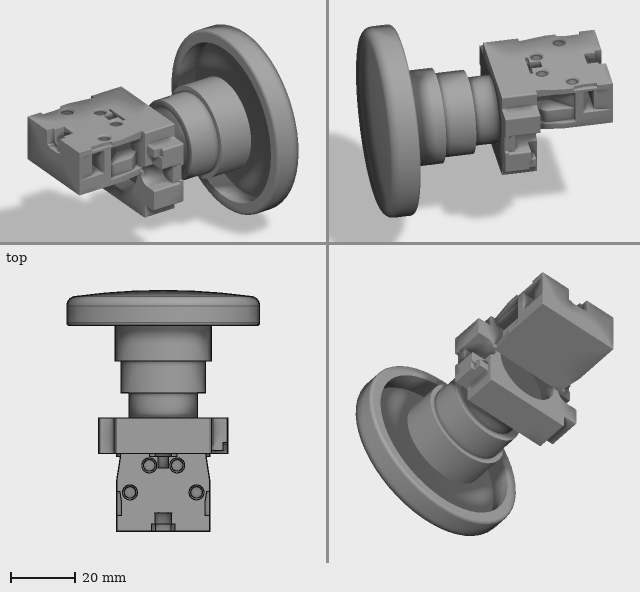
import cadquery as cq
import math


crown_y = 75.0
head_rim_y = 64.05
collar_end_y = 53.0
sleeve_end_y = 43.1
mount_back_y = 35.3
mount_front_y = 24.2
stem_end_y = 30.0

head_radius = 30.0
shoulder_y = 70.2
dome_edge_radius = 27.3
dome_edge_y = 73.1
rim_rounding = 1.0
dish_radius = 26.0
dish_edge_y = 70.65
dish_centre_y = 72.4

collar_radius = 15.0
sleeve_radius = 13.2
stem_radius = 10.7
bore_clearance = 0.2

mount_half = 15.0
lug_half_width = 20.1
lug_half_height = 10.3
edge_rounding = 0.495
slot_half_height = 3.3
slot_centre_x = 16.05
slot_floor_y = 32.1
waist_half_width = 18.9
back_lip_y = 34.1
back_lip_half_gap = 2.85
lug_step_y = 27.15
lug_notch_y = 27.7
lug_bar_y = 25.2
lug_bar_z = 7.5
lug_bar_half_width = 18.6

contact_half_width = 14.5
contact_height = 15.0
neck_half_width = 13.2
taper_start_y = 16.05
foot_thickness = 0.9
foot_height = 1.35

side_wall_half_width = 12.9
pocket_start_y = 11.85
pocket_floor_z = 1.95
pocket_top_z = 13.2
ledge_z = 6.2
wedge_top_z = 12.2
wedge_end_y = 18.75
lower_slope_y = 20.8
slope_angle = 40.0

window_floor_z = 5.0
window_front_y = 5.8
window_back_y = 9.4

rim_notch_floor_z = 13.95
rim_notch_front_y = 4.95
rim_notch_knee_y = 9.6
rim_notch_back_y = 12.4
rim_notch_half_width = 13.05
rim_notch_back_half_width = 13.5

screw_places = [(4.35, 20.55), (10.35, 12.15)]
screw_outer_radius = 2.3
screw_inner_radius = 1.8
screw_depth = 1.1

trough_radius = 2.6
trough_axis_z = 12.15
rod_radius = 1.6
rod_axis_z = 12.7
rod_slot_end_y = 19.8
mouth_depth = 2.25
mouth_half_width = 3.6
mouth_floor_z = 10.0
mouth_step_half_width = 2.5
rear_recess_half_width = 4.35
rear_recess_y = 23.25


def box(x_range, y_range, z_range):
    """Axis-aligned block between pairs of X, Y and Z limits."""
    sizes = [high - low for low, high in (x_range, y_range, z_range)]
    corner = (x_range[0], y_range[0], z_range[0])
    return cq.Workplane("XY").box(*sizes, centered=False).translate(corner)


def cylinder(radius, y_range, x=0, z=0):
    """Cylinder parallel to the Y axis."""
    start, end = y_range
    return cq.Workplane("XZ", origin=(x, start, z)).circle(radius).extrude(start - end)


def plan_prism(points, z_range):
    """Vertical prism over an outline in X and Y."""
    bottom, top = z_range
    return cq.Workplane("XY", origin=(0, 0, bottom)).polyline(points).close().extrude(top - bottom)


def both_sides(shape):
    """The shape together with its mirror image across the YZ plane."""
    return shape.union(shape.mirror("YZ"))


def shallow_arc_middle(edge_radius, edge_y, centre_y):
    """Point halfway along a shallow arc that rises from its edge to the axis, as (Y, Z)."""
    rise = centre_y - edge_y
    arc_radius = (edge_radius ** 2 + rise ** 2) / (2 * rise)
    half_angle = math.asin(edge_radius / arc_radius) / 2
    return (centre_y - arc_radius * (1 - math.cos(half_angle)), arc_radius * math.sin(half_angle))


def make_head():
    """Domed cap with a dished underside."""
    cap = (
        cq.Workplane("YZ")
        .moveTo(head_rim_y, 0)
        .lineTo(head_rim_y, head_radius)
        .lineTo(shoulder_y, head_radius)
        .tangentArcPoint((dome_edge_y, dome_edge_radius), relative=False)
        .threePointArc(shallow_arc_middle(dome_edge_radius, dome_edge_y, crown_y), (crown_y, 0))
        .close()
        .revolve(360, (0, 0), (1, 0))
    )
    cap = cap.faces("<Y").edges().fillet(rim_rounding)
    dish = (
        cq.Workplane("YZ")
        .moveTo(head_rim_y, 0)
        .lineTo(head_rim_y, dish_radius)
        .lineTo(dish_edge_y, dish_radius)
        .threePointArc(shallow_arc_middle(dish_radius, dish_edge_y, dish_centre_y), (dish_centre_y, 0))
        .close()
        .revolve(360, (0, 0), (1, 0))
    )
    return cap.cut(dish)


def make_stem():
    """Round stem in three steps, the widest under the head."""
    collar = cylinder(collar_radius, (collar_end_y, head_rim_y))
    sleeve = cylinder(sleeve_radius, (sleeve_end_y, collar_end_y))
    stem = cylinder(stem_radius, (stem_end_y, sleeve_end_y))
    return collar.union(sleeve).union(stem)


def side_slot():
    """Round-ended slot in the +X side, with the shallower gap behind it."""
    outer = (slot_centre_x, lug_half_width)
    gap = (waist_half_width, lug_half_width)
    height = (-slot_half_height, slot_half_height)
    slot = box(outer, (mount_front_y, slot_floor_y), height)
    slot = slot.union(cylinder(slot_half_height, (mount_front_y, slot_floor_y), slot_centre_x))
    return slot.union(box(gap, (slot_floor_y, back_lip_y), height))


def lug_step():
    """Cutter that shortens the upper +X lug and leaves a small bar on it."""
    sides = (mount_half, lug_half_width)
    bar_rows = (lug_bar_z, lug_half_height + edge_rounding)
    step = box(sides, (mount_front_y, lug_step_y), (0, lug_bar_z))
    step = step.union(box(sides, (mount_front_y, lug_bar_y), bar_rows))
    corner = (lug_bar_half_width, lug_half_width)
    return step.union(box(corner, (mount_front_y, lug_notch_y), bar_rows))


def make_mount():
    """Square block with side lugs, gripping the stem in a round bore."""
    depth = (mount_front_y, mount_back_y)
    body = box((-mount_half, mount_half), depth, (-mount_half, mount_half))
    lugs = box((-lug_half_width, lug_half_width), depth, (-lug_half_height, lug_half_height))
    mount = body.union(lugs).edges("|Y").fillet(edge_rounding)
    mount = mount.cut(both_sides(side_slot()))
    for lug_face_x in (-lug_half_width, lug_half_width):
        slot_edges = cq.selectors.BoxSelector(
            (lug_face_x - edge_rounding, mount_front_y, -slot_half_height - edge_rounding),
            (lug_face_x + edge_rounding, back_lip_y, slot_half_height + edge_rounding),
        )
        mount = mount.edges("|Y").edges(slot_edges).fillet(edge_rounding)
    back_gap = box(
        (waist_half_width, lug_half_width),
        (back_lip_y, mount_back_y),
        (-back_lip_half_gap, back_lip_half_gap),
    )
    mount = mount.cut(both_sides(back_gap))
    step = lug_step()
    mount = mount.cut(step).cut(step.rotate((0, 0, 0), (0, 1, 0), 180))
    return mount.cut(cylinder(stem_radius + bore_clearance, depth))


def contact_body():
    """Block that narrows toward the mounting block, with a foot along its bottom rear edge."""
    outline = [
        (-contact_half_width, 0),
        (contact_half_width, 0),
        (contact_half_width, taper_start_y),
        (neck_half_width, mount_front_y),
        (-neck_half_width, mount_front_y),
        (-contact_half_width, taper_start_y),
    ]
    foot = box(
        (-contact_half_width, contact_half_width),
        (mount_front_y - foot_thickness, mount_front_y),
        (0, foot_height),
    )
    return plan_prism(outline, (0, contact_height)).union(foot)


def side_pocket():
    """Rear pocket in the +X side: a shallow recess with two sloping walls cut deeper."""
    slope = math.tan(math.radians(slope_angle))
    wall = side_wall_half_width
    recess = box((wall, contact_half_width), (pocket_start_y, mount_front_y), (pocket_floor_z, pocket_top_z))
    upper_x = wall - (wedge_end_y - pocket_start_y) * slope
    upper = plan_prism(
        [(wall, pocket_start_y), (upper_x, wedge_end_y), (upper_x, mount_front_y), (wall, mount_front_y)],
        (ledge_z, wedge_top_z),
    )
    lower_x = wall - (mount_front_y - lower_slope_y) * slope
    lower = plan_prism(
        [(wall, lower_slope_y), (lower_x, mount_front_y), (wall, mount_front_y)],
        (pocket_floor_z, ledge_z),
    )
    return recess.union(upper).union(lower)


def window():
    """Opening right through in X, flared toward the front edge at both ends."""
    outline = [
        (-contact_half_width, 0),
        (-side_wall_half_width, window_front_y),
        (side_wall_half_width, window_front_y),
        (contact_half_width, 0),
        (contact_half_width, window_back_y),
        (-contact_half_width, window_back_y),
    ]
    return plan_prism(outline, (window_floor_z, pocket_top_z))


def rim_notch():
    """Shallow notch in the top +X edge."""
    outline = [
        (contact_half_width, rim_notch_front_y),
        (rim_notch_half_width, rim_notch_front_y),
        (rim_notch_half_width, rim_notch_knee_y),
        (rim_notch_back_half_width, rim_notch_back_y),
        (contact_half_width, rim_notch_back_y),
    ]
    return plan_prism(outline, (rim_notch_floor_z, contact_height))


def screw_recess(x, y):
    """Countersunk round recess in the top face."""
    hole = (
        cq.Workplane("XY", origin=(x, y, contact_height))
        .circle(screw_inner_radius)
        .extrude(-screw_depth)
    )
    countersink = cq.Solid.makeCone(
        screw_outer_radius,
        screw_inner_radius,
        screw_outer_radius - screw_inner_radius,
        pnt=cq.Vector(x, y, contact_height),
        dir=cq.Vector(0, 0, -1),
    )
    return hole.union(cq.Workplane(obj=countersink))


def open_trough(radius, axis_z, y_range):
    """Round-bottomed channel along Y, open to the top face."""
    return cylinder(radius, y_range, 0, axis_z).union(box((-radius, radius), y_range, (axis_z, contact_height)))


def make_contact():
    """Contact block with side pockets, a window, screw recesses and a channel for a rod."""
    contact = contact_body().cut(both_sides(side_pocket())).cut(window()).cut(both_sides(rim_notch()))
    for x, y in screw_places:
        contact = contact.cut(both_sides(screw_recess(x, y)))

    mouth = (0, mouth_depth)
    step_floor_z = trough_axis_z - trough_radius
    contact = contact.cut(box((-mouth_half_width, mouth_half_width), mouth, (mouth_floor_z, contact_height)))
    contact = contact.cut(
        box((-mouth_step_half_width, mouth_step_half_width), mouth, (step_floor_z, contact_height))
    )
    contact = contact.cut(open_trough(trough_radius, trough_axis_z, (mouth_depth, window_front_y)))

    contact = contact.cut(cylinder(rod_radius, (window_front_y, rod_slot_end_y), 0, rod_axis_z))
    contact = contact.cut(open_trough(rod_radius, rod_axis_z, (rod_slot_end_y, rear_recess_y)))
    rear = (rear_recess_y, mount_front_y)
    contact = contact.cut(open_trough(trough_radius, trough_axis_z, rear))
    shelf = (-rear_recess_half_width, rear_recess_half_width)
    return contact.cut(box(shelf, rear, (rim_notch_floor_z, contact_height)))


head = make_head()
stem = make_stem()
mount = make_mount()
contact = make_contact()

result = cq.Compound.makeCompound([head.val(), stem.val(), mount.val(), contact.val()])